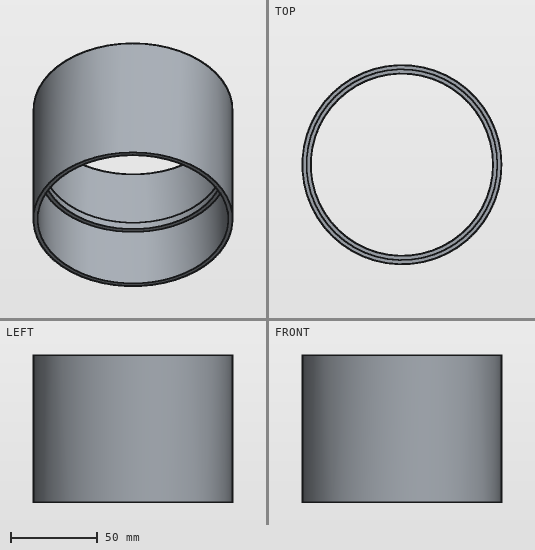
import cadquery as cq

outer_diameter = 115.0
socket_diameter = 110.0
stop_diameter = 105.0
length = 85.0
stop_thickness = 5.0
socket_depth = (length - stop_thickness) / 2


def cylinder(diameter, height, base_z):
    """Solid cylinder on the Z axis, standing on base_z."""
    return cq.Workplane("XY").workplane(offset=base_z).circle(diameter / 2).extrude(height)


sleeve = cylinder(outer_diameter, length, 0)
stop_bore = cylinder(stop_diameter, length, 0)
lower_socket = cylinder(socket_diameter, socket_depth, 0)
upper_socket = cylinder(socket_diameter, socket_depth, length - socket_depth)

result = sleeve.cut(stop_bore).cut(lower_socket).cut(upper_socket)